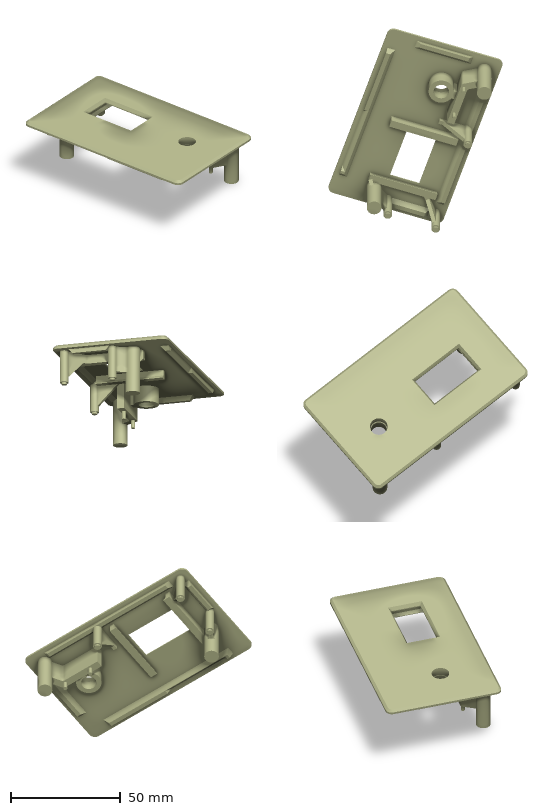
import cadquery as cq
import math

PLATE_LENGTH = 90.0
PLATE_WIDTH = 55.0
PLATE_THICKNESS = 2.0
PLATE_CORNER_RADIUS = 3.0
PLATE_CHAMFER_HEIGHT = 1.0
PLATE_CHAMFER_WIDTH = 1.1

RIM_HEIGHT = 2.0
RIM_SLOPE = 1.8
RIM_BASE_WIDTH = 3.8
RIM_HALF_LENGTH = 42.7
RIM_HALF_WIDTH = 25.1
LONG_RIM_END = 34.9
LEFT_RIM_SPAN = (0.6, 20.1)
RIGHT_RIM_SPAN = (-13.5, 13.5)
NOTCH_LENGTH = 29.9
NOTCH_DEPTH = 1.8

WINDOW_X = -15.0
WINDOW_Y = 4.05
WINDOW_LENGTH = 27.6
WINDOW_WIDTH = 16.0
WINDOW_TAPER = 1.0
WINDOW_TAPER_DEPTH = 1.5

RAIL_GAP = 29.0
RAIL_THICKNESS = 2.2
RAIL_DEPTH = 6.0
RAIL_LENGTH = 32.0
BARB_REACH = 1.3
BARB_TOP_DEPTH = 4.7
BARB_EDGE_HEIGHT = 0.3

POST_DIAMETER = 6.7
POST_DEPTH = 23.3
LEFT_POST = (-35.0, -8.2)
RIGHT_POST = (37.7, 20.4)
WEB_DEPTH = 13.9

PEG_DIAMETER = 4.0
PEG_DEPTH = 16.9
PEG_TIP_DIAMETER = 2.5
PEG_TIP_DEPTH = 17.8
LEFT_PEG_X = -40.0
MIDDLE_PEG_X = 6.5
BACK_PEG_Y = 22.95
LEFT_FRONT_PEG = (LEFT_PEG_X, 0.0)
LEFT_BACK_PEG = (LEFT_PEG_X, BACK_PEG_Y)
MIDDLE_PEG = (MIDDLE_PEG_X, BACK_PEG_Y)
NECK_WIDTH = 2.0
NECK_FILLET = 1.8

GUSSET_THICKNESS = 1.8
PEG_GUSSET_DEPTH = 13.9
POST_GUSSET_DEPTH = 8.0
PEG_GUSSET_END_Y = 15.8
POST_GUSSET_END_Y = -10.7

BUTTON_X = 24.9
BUTTON_Y = 4.05
SLEEVE_DIAMETER = 11.5
SLEEVE_DEPTH = 9.45
BUTTON_HOLE_DIAMETER = 8.0
BUTTON_HOLE_DEPTH = 4.0
BUTTON_STEM_DIAMETER = 7.0

WALL_LEFT = 12.9
WALL_FRONT = 10.9
WALL_THICKNESS = 3.3
WALL_BEND_X = 33.0
WALL_FILLET = 1.5
BRIDGE_WIDTH = 4.0
PIN_DIAMETER = 1.8
PIN_DEPTH = 17.6
PIN_SPACING = 14.0


def block(x_span, y_span, top_depth, bottom_depth):
    """Upright box between two depths."""
    size = (x_span[1] - x_span[0], y_span[1] - y_span[0], bottom_depth - top_depth)
    corner = (x_span[0], y_span[0], -bottom_depth)
    return cq.Workplane("XY").box(*size, centered=False).translate(corner)


def cylinder(center, diameter, depth, top_depth=PLATE_THICKNESS / 2):
    """Upright cylinder, by default rooted inside the plate."""
    plane = cq.Workplane("XY", origin=(center[0], center[1], -depth))
    return plane.circle(diameter / 2).extrude(depth - top_depth)


def frustum(x_top, y_top, x_bottom, y_bottom, top_depth, bottom_depth):
    """Solid between two level rectangles given by their X and Y spans."""

    def level_rectangle(x_span, y_span, depth):
        (x0, x1), (y0, y1) = x_span, y_span
        points = [(x0, y0, -depth), (x1, y0, -depth), (x1, y1, -depth), (x0, y1, -depth)]
        return cq.Wire.makePolygon([cq.Vector(*p) for p in points], close=True)

    top = level_rectangle(x_top, y_top, top_depth)
    bottom = level_rectangle(x_bottom, y_bottom, bottom_depth)
    return cq.Workplane(obj=cq.Solid.makeLoft([top, bottom], True))


def faceplate():
    body = block(
        (-PLATE_LENGTH / 2, PLATE_LENGTH / 2), (-PLATE_WIDTH / 2, PLATE_WIDTH / 2), 0, PLATE_THICKNESS
    )
    body = body.edges("|Z").fillet(PLATE_CORNER_RADIUS)
    return body.faces(">Z").chamfer(PLATE_CHAMFER_HEIGHT, PLATE_CHAMFER_WIDTH)


def rim(span, outer_edge, along_x):
    """Locating rim along X or Y whose upright side lies on outer_edge."""
    inward = -math.copysign(1, outer_edge)
    base = sorted((outer_edge, outer_edge + inward * RIM_BASE_WIDTH))
    foot = sorted((outer_edge, outer_edge + inward * (RIM_BASE_WIDTH - RIM_SLOPE)))
    foot_span = (span[0] + RIM_SLOPE, span[1] - RIM_SLOPE)
    depths = (PLATE_THICKNESS, PLATE_THICKNESS + RIM_HEIGHT)
    if along_x:
        return frustum(span, base, foot_span, foot, *depths)
    return frustum(base, span, foot, foot_span, *depths)


def front_rim():
    """Front rim with a bevelled notch in its outer side, level with the window."""
    bottom_half = NOTCH_LENGTH / 2 + RIM_SLOPE
    x_top = (WINDOW_X - NOTCH_LENGTH / 2, WINDOW_X + NOTCH_LENGTH / 2)
    x_bottom = (WINDOW_X - bottom_half, WINDOW_X + bottom_half)
    outside = -PLATE_WIDTH / 2
    y_top = (outside, -RIM_HALF_WIDTH)
    y_bottom = (outside, -RIM_HALF_WIDTH + NOTCH_DEPTH)
    notch = frustum(x_top, y_top, x_bottom, y_bottom, PLATE_THICKNESS, PLATE_THICKNESS + RIM_HEIGHT)
    return rim((-LONG_RIM_END, LONG_RIM_END), -RIM_HALF_WIDTH, True).cut(notch)


def rims():
    back = rim((-LONG_RIM_END, LONG_RIM_END), RIM_HALF_WIDTH, True)
    left = rim(LEFT_RIM_SPAN, -RIM_HALF_LENGTH, False)
    right = rim(RIGHT_RIM_SPAN, RIM_HALF_LENGTH, False)
    return [front_rim(), back, left, right]


def window_cutter():
    def spans(taper):
        half_x = WINDOW_LENGTH / 2 - taper
        half_y = WINDOW_WIDTH / 2 - taper
        return (WINDOW_X - half_x, WINDOW_X + half_x), (WINDOW_Y - half_y, WINDOW_Y + half_y)

    tapered = frustum(*spans(0), *spans(WINDOW_TAPER), 0, WINDOW_TAPER_DEPTH)
    return tapered.union(block(*spans(WINDOW_TAPER), WINDOW_TAPER_DEPTH, PLATE_THICKNESS))


def snap_rail(side):
    """Rail on the left (-1) or right (+1) of the window, barbed towards it."""
    inner = WINDOW_X + side * RAIL_GAP / 2
    outer = inner + side * RAIL_THICKNESS
    tip = inner - side * BARB_REACH
    profile = [
        (outer, -PLATE_THICKNESS),
        (inner, -PLATE_THICKNESS),
        (inner, -BARB_TOP_DEPTH),
        (tip, -(RAIL_DEPTH - BARB_EDGE_HEIGHT)),
        (tip, -RAIL_DEPTH),
        (outer, -RAIL_DEPTH),
    ]
    plane = cq.Workplane("XZ", origin=(0, WINDOW_Y, 0))
    return plane.polyline(profile).close().extrude(RAIL_LENGTH / 2, both=True)


def peg(center):
    shank = cylinder(center, PEG_DIAMETER, PEG_DEPTH)
    return shank.union(cylinder(center, PEG_TIP_DIAMETER, PEG_TIP_DEPTH))


def gusset(center, direction, diameter, start_depth, end_depth, reach):
    """Upright plate leaving a peg or post, its underside rising at 45 degrees to end_depth."""
    radius = diameter / 2
    profile = [
        (0, -PLATE_THICKNESS),
        (0, -start_depth),
        (radius, -start_depth),
        (radius + start_depth - end_depth, -end_depth),
        (reach, -end_depth),
        (reach, -PLATE_THICKNESS),
    ]
    plate = cq.Workplane("XZ").polyline(profile).close().extrude(GUSSET_THICKNESS / 2, both=True)
    return plate.rotate((0, 0, 0), (0, 0, 1), direction).translate((*center, 0))


def rail_gusset(center, diameter, start_depth, end_y):
    """Gusset meeting the outer side of the left snap rail at end_y and ending inside the rail."""
    run_x = WINDOW_X - RAIL_GAP / 2 - RAIL_THICKNESS - center[0]
    run_y = end_y - center[1]
    direction = math.degrees(math.atan2(run_y, run_x))
    reach = math.hypot(run_x, run_y) + GUSSET_THICKNESS / 2
    return gusset(center, direction, diameter, start_depth, RAIL_DEPTH, reach)


def gussets():
    rim_depth = PLATE_THICKNESS + RIM_HEIGHT
    middle_reach = PEG_DIAMETER / 2 + PEG_GUSSET_DEPTH - PLATE_THICKNESS
    return [
        rail_gusset(LEFT_BACK_PEG, PEG_DIAMETER, PEG_GUSSET_DEPTH, PEG_GUSSET_END_Y),
        rail_gusset(LEFT_POST, POST_DIAMETER, POST_GUSSET_DEPTH, POST_GUSSET_END_Y),
        gusset(MIDDLE_PEG, -90, PEG_DIAMETER, PEG_GUSSET_DEPTH, rim_depth, middle_reach),
    ]


def joined_peg_and_post():
    """Left front peg and left post with a web between them that blends into both."""
    run_x = LEFT_POST[0] - LEFT_FRONT_PEG[0]
    run_y = LEFT_POST[1] - LEFT_FRONT_PEG[1]
    middle = (LEFT_FRONT_PEG[0] + run_x / 2, LEFT_FRONT_PEG[1] + run_y / 2)
    length = math.hypot(run_x, run_y)
    angle = math.degrees(math.atan2(run_y, run_x))
    web = block(
        (-length / 2, length / 2), (-NECK_WIDTH / 2, NECK_WIDTH / 2), PLATE_THICKNESS, WEB_DEPTH
    )
    web = web.rotate((0, 0, 0), (0, 0, 1), angle).translate((*middle, 0))
    web = web.union(peg(LEFT_FRONT_PEG))
    web = web.union(cylinder(LEFT_POST, POST_DIAMETER, POST_DEPTH))
    meeting_lines = cq.selectors.BoxSelector(
        (middle[0] - length / 2, LEFT_POST[1] + POST_DIAMETER / 4, -WEB_DEPTH),
        (middle[0] + length / 2, LEFT_FRONT_PEG[1] - PEG_DIAMETER / 4, 0),
    )
    return web.edges("|Z").edges(meeting_lines).fillet(NECK_FILLET)


def button_wall():
    """Straight wall that bends towards the right post."""
    center_y = WALL_FRONT + WALL_THICKNESS / 2
    angle = math.atan2(RIGHT_POST[1] - center_y, RIGHT_POST[0] - WALL_BEND_X)
    half = WALL_THICKNESS / 2
    miter = half * math.tan(angle / 2)
    side_x = half * math.sin(angle)
    side_y = half * math.cos(angle)
    outline = [
        (WALL_LEFT, WALL_FRONT),
        (WALL_BEND_X + miter, WALL_FRONT),
        (RIGHT_POST[0] + side_x, RIGHT_POST[1] - side_y),
        (RIGHT_POST[0] - side_x, RIGHT_POST[1] + side_y),
        (WALL_BEND_X - miter, WALL_FRONT + WALL_THICKNESS),
        (WALL_LEFT, WALL_FRONT + WALL_THICKNESS),
    ]
    plane = cq.Workplane("XY", origin=(0, 0, -WEB_DEPTH))
    wall = plane.polyline(outline).close().extrude(WEB_DEPTH - PLATE_THICKNESS)
    bend = cq.selectors.BoxSelector(
        (WALL_BEND_X - WALL_THICKNESS, WALL_FRONT - half, -WEB_DEPTH),
        (WALL_BEND_X + WALL_THICKNESS, WALL_FRONT + WALL_THICKNESS + half, 0),
    )
    return wall.edges("|Z").edges(bend).fillet(WALL_FILLET)


def button_pins():
    pin_y = WALL_FRONT + WALL_THICKNESS / 2
    return [
        cylinder((BUTTON_X + side * PIN_SPACING / 2, pin_y), PIN_DIAMETER, PIN_DEPTH) for side in (-1, 1)
    ]


def sleeve_bridge():
    """Short web joining the button sleeve to the wall behind it."""
    x_span = (BUTTON_X - BRIDGE_WIDTH / 2, BUTTON_X + BRIDGE_WIDTH / 2)
    y_span = (BUTTON_Y + BUTTON_HOLE_DIAMETER / 2, WALL_FRONT)
    return block(x_span, y_span, PLATE_THICKNESS, SLEEVE_DEPTH)


button_center = (BUTTON_X, BUTTON_Y)
features = rims() + gussets() + button_pins()
features += [snap_rail(side) for side in (-1, 1)]
features += [peg(center) for center in (LEFT_BACK_PEG, MIDDLE_PEG)]
features += [joined_peg_and_post(), button_wall(), sleeve_bridge()]
features.append(cylinder(RIGHT_POST, POST_DIAMETER, POST_DEPTH))
features.append(cylinder(button_center, SLEEVE_DIAMETER, SLEEVE_DEPTH))

result = faceplate()
for feature in features:
    result = result.union(feature)

result = result.cut(window_cutter())
result = result.cut(cylinder(button_center, BUTTON_HOLE_DIAMETER, BUTTON_HOLE_DEPTH, 0))
result = result.cut(cylinder(button_center, BUTTON_STEM_DIAMETER, SLEEVE_DEPTH, 0))